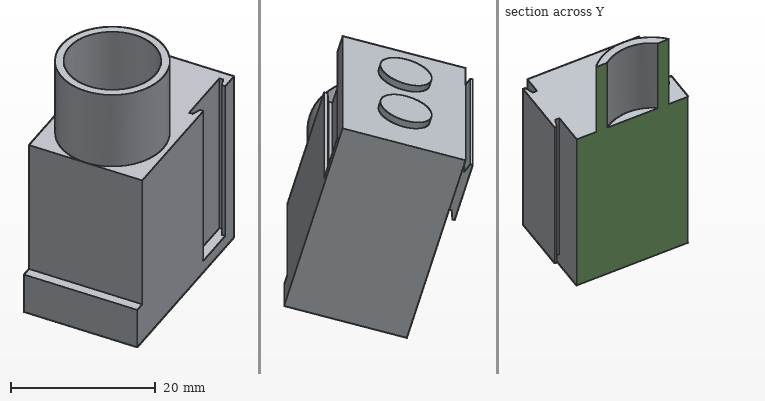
import cadquery as cq

body_width = 17.7
body_depth = 27.3
body_height = 27.7

foot_projection = 1.5
foot_height = 6.45

total_height = 40
tube_outer_diameter = 15.9
tube_inner_diameter = 13.5
tube_center_y = tube_outer_diameter / 2 + 0.05

button_diameter = 7.4
button_projection = 1.0
button_heights = (8.9, 19.95)

dovetail_width = 8.95
dovetail_back_margin = 1.4
dovetail_center_y = body_depth - dovetail_back_margin - dovetail_width / 2
dovetail_bottom = 2
rail_depth = 1.5
rail_neck_width = 6.3
rail_edge = 0.35
rail_neck_start = 0.85
groove_depth = 1.55
groove_neck_width = 6.5
groove_edge = 0.55
groove_neck_start = 1.05


def dovetail(wide_face_x, depth, neck_width, edge, neck_start):
    """Vertical dovetail bar running in +X from its wide face to its narrow neck."""
    half_wide = dovetail_width / 2
    half_neck = neck_width / 2
    return (
        cq.Workplane("XY", origin=(wide_face_x, dovetail_center_y, dovetail_bottom))
        .moveTo(0, -half_wide)
        .lineTo(edge, -half_wide)
        .lineTo(neck_start, -half_neck)
        .lineTo(depth, -half_neck)
        .lineTo(depth, half_neck)
        .lineTo(neck_start, half_neck)
        .lineTo(edge, half_wide)
        .lineTo(0, half_wide)
        .close()
        .extrude(body_height - dovetail_bottom)
    )


body = (
    cq.Workplane("YZ")
    .moveTo(-foot_projection, 0)
    .lineTo(body_depth, 0)
    .lineTo(body_depth, body_height)
    .lineTo(0, body_height)
    .lineTo(0, foot_height)
    .lineTo(-foot_projection, foot_height)
    .close()
    .extrude(body_width / 2, both=True)
)

tube = (
    cq.Workplane("XY", origin=(0, tube_center_y, body_height))
    .circle(tube_outer_diameter / 2)
    .circle(tube_inner_diameter / 2)
    .extrude(total_height - body_height)
)

rail = dovetail(
    -body_width / 2 - rail_depth, rail_depth, rail_neck_width, rail_edge, rail_neck_start
)
groove = dovetail(
    body_width / 2 - groove_depth, groove_depth, groove_neck_width, groove_edge, groove_neck_start
)

result = body.union(tube).union(rail).cut(groove)

for button_height in button_heights:
    button = (
        cq.Workplane("XZ", origin=(0, body_depth, button_height))
        .circle(button_diameter / 2)
        .extrude(-button_projection)
    )
    result = result.union(button)